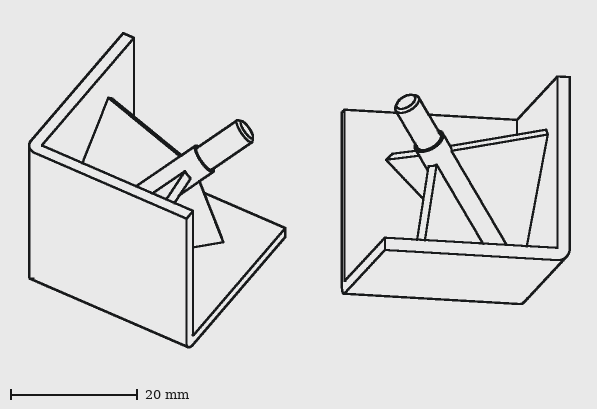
import cadquery as cq
import math

side = 30
wall = 2.0
corner_radius = wall

pin_diameter = 5.0
tip_diameter = 4.2
shoulder_distance = 32.35
tip_distance = 40.8
tip_chamfer = 0.45

rib_thickness = 1.5
rib_reach = 29.3
rib_slope = math.radians(15)

inner_corner = (wall, wall, wall)
body_diagonal = (1, 1, 1)


def rounded_prism(plane):
    """Cube of the outer size with the edge along the plane normal rounded."""
    return (
        cq.Workplane(plane)
        .moveTo(corner_radius, 0)
        .lineTo(side, 0)
        .lineTo(side, side)
        .lineTo(0, side)
        .lineTo(0, corner_radius)
        .radiusArc((corner_radius, 0), -corner_radius)
        .close()
        .extrude(side)
    )


def make_outer_block():
    """Block whose three rounded edges meet in mitres at the corner."""
    prisms = [rounded_prism(plane) for plane in ("XY", "YZ", "ZX")]
    return prisms[0].intersect(prisms[1]).intersect(prisms[2])


def make_cavity():
    """Open space in front of the three plates."""
    depth = side - wall
    return cq.Workplane("XY").box(depth, depth, depth, centered=False).translate(inner_corner)


def make_pin():
    """Stepped pin, starting at the inner corner, with a chamfered tip."""
    plane = cq.Plane(origin=inner_corner, normal=body_diagonal)
    shank = cq.Workplane(plane).circle(pin_diameter / 2).extrude(shoulder_distance)
    tip = (
        cq.Workplane(plane)
        .circle(tip_diameter / 2)
        .extrude(tip_distance)
        .faces(cq.selectors.DirectionMinMaxSelector(cq.Vector(*body_diagonal), True))
        .chamfer(tip_chamfer)
    )
    return shank.union(tip)


def make_rib(plate_normal, rib_normal):
    """Rib standing on one plate, from the inner corner to its sloping end at the pin."""
    plane = cq.Plane(origin=inner_corner, xDir=plate_normal, normal=rib_normal)
    axis_height = rib_reach / (math.sqrt(2) + math.tan(rib_slope))
    axis_reach = axis_height * math.sqrt(2)
    return (
        cq.Workplane(plane)
        .polyline([(0, 0), (axis_height, axis_reach), (0, rib_reach)])
        .close()
        .extrude(rib_thickness / 2, both=True)
    )


inside = make_pin()
for plate_normal, rib_normal in (
    ((1, 0, 0), (0, -1, 1)),
    ((0, 1, 0), (1, 0, -1)),
    ((0, 0, 1), (-1, 1, 0)),
):
    inside = inside.union(make_rib(plate_normal, rib_normal))

cavity = make_cavity()
shell = make_outer_block().cut(cavity)
result = shell.union(inside.intersect(cavity))